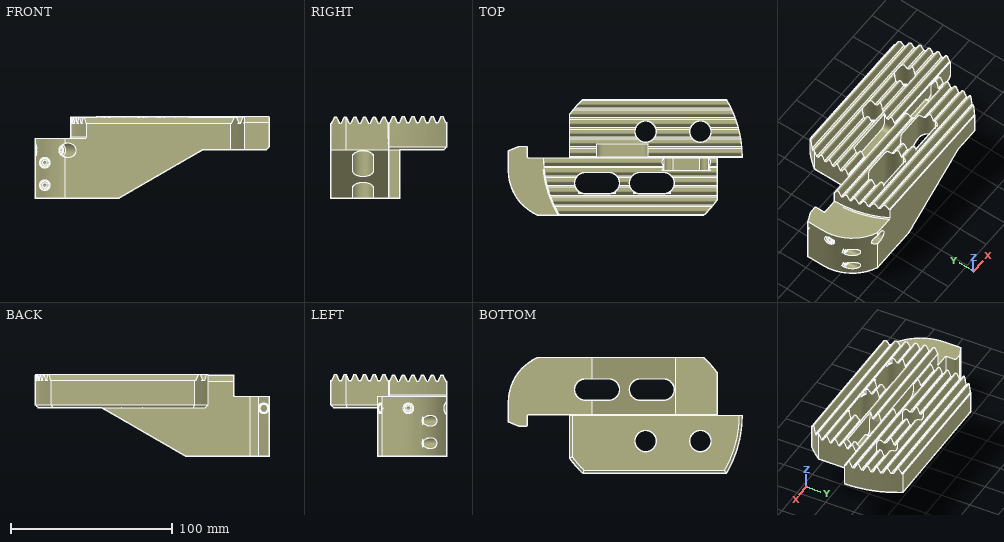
import cadquery as cq
import math


length = 145.1
width = 72.0
height = 50.8
parting_y = width / 2
jaw_gap = 0.3
front_depth = parting_y - jaw_gap

teeth_per_jaw = 6
tooth_pitch = parting_y / teeth_per_jaw
tooth_height = 3.9
tooth_flat = 1.3
front_root_flat = 0.9
crest_fillet = 0.7
front_top = height - 0.5

jaw_end_radius = 70.4
plate_bottom = 30.0
corner_dx = 8.4
corner_dy = 9.6
corner_radius = 69.6
bolt_width = 13.0
bolt_inset = 16.0
bolt_spacing = 34.0
bolt_count = 2
pocket_depth_y = 8.3

front_right = 129.6
ledge_z = 37.1
ledge_x = 21.9
ledge_fillet = 0.7
foot_length = 51.8
slope_angle = 30.0
nose_radius = 30.5
nose_y = 28.0
hook_width = 11.9
hook_depth = 42.8
hook_bevel_x = 6.7
hook_bevel_y = 2.8
hook_fillet = 0.7
slot_left = 41.2
slot_length = 27.7
front_pocket_left = 96.6
front_pocket_right = 124.2
front_pocket_floor = ledge_z
front_pocket_flare_z = 45.3
front_pocket_flare = 1.5
relief_radius = 2.8

rear_left = 37.9
bottom_chamfer = 1.9
bolt_hole_x = 85.2
rear_pocket_left = 54.7
rear_pocket_right = 86.8
rear_pocket_floor = ledge_z
rear_pocket_fillet = 4.2

screw_diameter = 6.5
screw_chamfer = 0.7
socket_diameter = 3.5
socket_depth = 2.2
socket_point_depth = 1.0
upper_screw_z = 29.7
side_screw_y = 23.8
side_screw_x = 0.9
side_screw_length = 4.6
front_screw_x = 6.0
front_screw_y = 14.4
front_screw_zs = (8.1, 22.0)
front_screw_length = 11.6
access_diameter = 9.0
access_depth = 15.2


def box(x0, x1, y0, y1, z0, z1):
    """Block between two opposite corners."""
    return cq.Workplane("XY").box(x1 - x0, y1 - y0, z1 - z0, centered=False).translate((x0, y0, z0))


def middle_of_arc(start, end, radius):
    """Point halfway along the arc that bulges to the right of the line from start to end."""
    dx = end[0] - start[0]
    dy = end[1] - start[1]
    chord = math.hypot(dx, dy)
    rise = radius - math.sqrt(radius**2 - chord**2 / 4)
    return (
        (start[0] + end[0]) / 2 + rise * dy / chord,
        (start[1] + end[1]) / 2 - rise * dx / chord,
    )


def side_profile(outline, y0, y1):
    """Extrude a closed X-Z wire from y0 to y1."""
    return outline.extrude(-(y1 - y0)).translate((0, y0, 0))


def toothed_block(y0, z_top, root_flat):
    """Bar over the full length whose top carries one jaw's teeth."""
    z_root = z_top - tooth_height
    profile = [(y0, 0), (y0, z_root)]
    for i in range(teeth_per_jaw):
        start = y0 + i * tooth_pitch
        crest = start + tooth_pitch / 2
        end = start + tooth_pitch
        profile += [
            (start + root_flat / 2, z_root),
            (crest - tooth_flat / 2, z_top),
            (crest + tooth_flat / 2, z_top),
            (end - root_flat / 2, z_root),
        ]
    y_end = y0 + teeth_per_jaw * tooth_pitch
    profile += [(y_end, z_root), (y_end, 0)]
    block = cq.Workplane("YZ").polyline(profile).close().extrude(length)
    return block.faces(">Z").edges("|X").fillet(crest_fillet)


def screw_plane(x, y, outward):
    """Plane of a screw's socket face, with its normal pointing out of the jaw."""
    return cq.Plane(origin=(x, y, 0), xDir=(0, 0, 1), normal=outward)


def set_screw(plane, screw_length):
    """Headless screw with a hexagon socket in the face that lies on the plane."""
    screw = cq.Workplane(plane).circle(screw_diameter / 2).extrude(-screw_length)
    screw = screw.edges("%CIRCLE").chamfer(screw_chamfer)
    socket = cq.Workplane(plane).polygon(6, socket_diameter).extrude(-socket_depth)
    across_flats = socket_diameter * math.cos(math.pi / 6)
    socket_bottom = plane.origin - plane.zDir * socket_depth
    point = cq.Solid.makeCone(across_flats / 2, 0, socket_point_depth, socket_bottom, -plane.zDir)
    return screw.cut(socket).cut(cq.Workplane(point))


def screw_bore(plane, screw_length, entry_diameter):
    """Space for a set screw and for the key that turns it."""
    bore = cq.Workplane(plane).circle(screw_diameter / 2).extrude(-screw_length)
    entry = cq.Workplane(plane).circle(entry_diameter / 2).extrude(length)
    return bore.union(entry)


hook_tip_x = hook_bevel_x / 2
hook_tip_y = hook_depth - hook_bevel_y / 2
bevel_length = math.hypot(hook_bevel_x, hook_bevel_y)
hook_outward = (hook_bevel_y / bevel_length, -hook_bevel_x / bevel_length, 0)
hook_screw_length = hook_tip_y / -hook_outward[1] - access_depth
hook_face_x = hook_tip_x + hook_screw_length * hook_outward[0]
hook_face_y = hook_tip_y + hook_screw_length * hook_outward[1]

screw_seats = [
    (screw_plane(hook_face_x, hook_face_y, hook_outward), upper_screw_z, hook_screw_length, access_diameter),
    (screw_plane(side_screw_x, side_screw_y, (-1, 0, 0)), upper_screw_z, side_screw_length, screw_diameter),
]
for screw_z in front_screw_zs:
    front_plane = screw_plane(front_screw_x, front_screw_y, (0, -1, 0))
    screw_seats.append((front_plane, screw_z, front_screw_length, screw_diameter))

set_screws = []
screw_bores = []
for plane, axis_z, screw_length, entry_diameter in screw_seats:
    set_screws.append(set_screw(plane, screw_length).translate((0, 0, axis_z)))
    screw_bores.append(screw_bore(plane, screw_length, entry_diameter).translate((0, 0, axis_z)))


def front_outline():
    """Plan of the front jaw with its round nose and its hook, as a prism."""
    nose_end_x = nose_radius - math.sqrt(nose_radius**2 - nose_y**2)
    nose_start = (0, nose_y)
    nose_end = (nose_end_x, 0)
    corner_start = (front_right - corner_dx, 0)
    corner_end = (front_right, corner_dy)
    prism = (
        cq.Workplane("XY")
        .moveTo(*nose_start)
        .threePointArc(middle_of_arc(nose_start, nose_end, nose_radius), nose_end)
        .lineTo(*corner_start)
        .threePointArc(middle_of_arc(corner_start, corner_end, corner_radius), corner_end)
        .lineTo(front_right, front_depth)
        .lineTo(hook_width, front_depth)
        .lineTo(hook_width, hook_depth)
        .lineTo(hook_bevel_x, hook_depth)
        .lineTo(0, hook_depth - hook_bevel_y)
        .close()
        .extrude(height)
    )
    hook_corners = cq.selectors.BoxSelector(
        (hook_width - hook_fillet, front_depth - hook_fillet, 0),
        (hook_width + hook_fillet, hook_depth + hook_fillet, height),
    )
    return prism.edges("|Z").edges(hook_corners).fillet(hook_fillet)


def front_side():
    """Side shape of the front jaw: foot, slope and raised plate."""
    slope_run = plate_bottom / math.tan(math.radians(slope_angle))
    return side_profile(
        cq.Workplane("XZ")
        .moveTo(0, 0)
        .lineTo(foot_length, 0)
        .lineTo(foot_length + slope_run, plate_bottom)
        .lineTo(length, plate_bottom)
        .lineTo(length, height)
        .lineTo(0, height)
        .close(),
        0,
        width,
    )


def ledge_cut():
    """Space over the nose, outside the round step; its lower edge leaves a fillet."""
    outside = box(0, length / 2, 0, width, ledge_z, height)
    step = (
        cq.Workplane("XY", origin=(ledge_x + jaw_end_radius, parting_y, ledge_z))
        .circle(jaw_end_radius)
        .extrude(height - ledge_z)
    )
    cut = outside.cut(step)
    return cut.faces("<Z").edges("%CIRCLE").fillet(ledge_fillet)


def bolt_slots():
    """Two through slots, each with the tooth in front of it trimmed square at the root."""
    slot_y = parting_y - bolt_inset
    slot_front = slot_y - bolt_width / 2
    trimmed_crest = 2.5 * tooth_pitch
    end_radius = bolt_width / 2
    trim_run = math.sqrt(end_radius**2 - (slot_y - trimmed_crest) ** 2)
    cuts = cq.Workplane("XY")
    for i in range(bolt_count):
        left = slot_left + i * bolt_spacing
        right = left + slot_length
        slot = (
            cq.Workplane("XY")
            .center((left + right) / 2, slot_y)
            .slot2D(slot_length, bolt_width)
            .extrude(height)
        )
        trim_left = left + end_radius - trim_run
        trim_right = right - end_radius + trim_run
        trim = box(trim_left, trim_right, slot_front, trimmed_crest, front_top - tooth_height, height)
        cuts = cuts.union(slot).union(trim)
    return cuts


def front_pocket():
    """Pocket with ends that flare at the top and a round relief groove along each end of its floor."""
    y0 = parting_y - pocket_depth_y
    profile = (
        cq.Workplane("XZ")
        .moveTo(front_pocket_left, front_pocket_floor)
        .threePointArc(
            (front_pocket_left + relief_radius, front_pocket_floor - relief_radius),
            (front_pocket_left + 2 * relief_radius, front_pocket_floor),
        )
        .lineTo(front_pocket_right - 2 * relief_radius, front_pocket_floor)
        .threePointArc(
            (front_pocket_right - relief_radius, front_pocket_floor - relief_radius),
            (front_pocket_right, front_pocket_floor),
        )
        .lineTo(front_pocket_right, front_pocket_flare_z)
        .lineTo(front_pocket_right + front_pocket_flare, height)
        .lineTo(front_pocket_left - front_pocket_flare, height)
        .lineTo(front_pocket_left, front_pocket_flare_z)
        .close()
    )
    return side_profile(profile, y0, parting_y)


def make_front_jaw():
    hook_bar = box(0, hook_width, parting_y, width, 0, height)
    blank = toothed_block(0, front_top, front_root_flat).union(hook_bar)
    jaw = front_outline().intersect(front_side()).intersect(blank)
    jaw = jaw.cut(ledge_cut()).cut(bolt_slots()).cut(front_pocket())
    for bore in screw_bores:
        jaw = jaw.cut(bore)
    return jaw


def rear_outline():
    """Plan of the rear jaw as a plate with its lower outer edges chamfered."""
    round_drop = jaw_end_radius - math.sqrt(jaw_end_radius**2 - parting_y**2)
    round_start = (length, parting_y)
    round_end = (length - round_drop, width)
    corner_start = (rear_left + corner_dx, width)
    corner_end = (rear_left, width - corner_dy)
    plate = (
        cq.Workplane("XY", origin=(0, 0, plate_bottom))
        .moveTo(*round_start)
        .threePointArc(middle_of_arc(round_start, round_end, jaw_end_radius), round_end)
        .lineTo(*corner_start)
        .threePointArc(middle_of_arc(corner_start, corner_end, corner_radius), corner_end)
        .lineTo(rear_left, parting_y)
        .close()
        .extrude(height - plate_bottom)
    )
    return plate.faces("<Z").edges("not <Y").chamfer(bottom_chamfer)


def rear_pocket():
    """Pocket with upright ends and a filleted floor."""
    pocket = box(
        rear_pocket_left, rear_pocket_right, parting_y, parting_y + pocket_depth_y, rear_pocket_floor, height
    )
    return pocket.faces("<Z").edges("|Y").fillet(rear_pocket_fillet)


def bolt_holes():
    """Two through holes."""
    hole_y = parting_y + bolt_inset
    centres = [(bolt_hole_x + i * bolt_spacing, hole_y) for i in range(bolt_count)]
    return cq.Workplane("XY").pushPoints(centres).circle(bolt_width / 2).extrude(height)


def make_rear_jaw():
    teeth = toothed_block(parting_y, height, tooth_flat)
    return rear_outline().intersect(teeth).cut(rear_pocket()).cut(bolt_holes())


front_jaw = make_front_jaw()
rear_jaw = make_rear_jaw()

result = cq.Compound.makeCompound(
    [front_jaw.val(), rear_jaw.val(), *[screw.val() for screw in set_screws]]
)